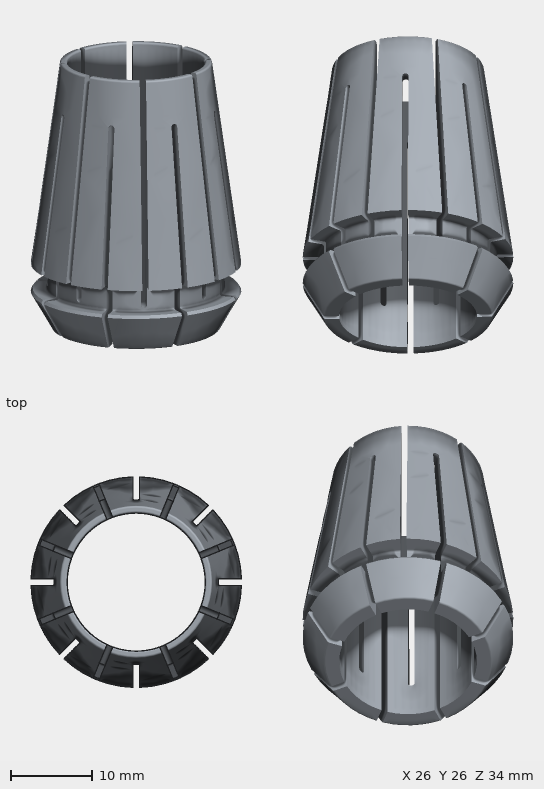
import cadquery as cq
import math

height = 34.0
bore_radius = 8.5

collar_radius = 13.0
collar_angle = 30.0
collar_edge_z = 4.6
collar_top_z = 4.95
collar_bevel = 0.25

groove_radius = 10.95

cone_radius = 13.0
cone_angle = 8.0
cone_base_z = 8.15

edge_fillet = 0.27

slots_per_set = 8
slot_width = 0.78
bottom_slot_end_z = 28.42
top_slot_end_z = 5.45

slot_pitch = 360 / slots_per_set
collar_bottom_radius = collar_radius - collar_edge_z * math.tan(math.radians(collar_angle))
cone_top_radius = cone_radius - (height - cone_base_z) * math.tan(math.radians(cone_angle))


def make_body():
    """Revolve the collet wall about the Z axis, then round its edges."""
    body = (
        cq.Workplane("XZ")
        .moveTo(bore_radius, 0)
        .lineTo(collar_bottom_radius, 0)
        .lineTo(collar_radius, collar_edge_z)
        .lineTo(collar_radius - collar_bevel, collar_top_z)
        .lineTo(groove_radius, collar_top_z)
        .lineTo(groove_radius, cone_base_z)
        .lineTo(cone_radius, cone_base_z)
        .lineTo(cone_top_radius, height)
        .lineTo(bore_radius, height)
        .close()
        .revolve(360, (0, 0, 0), (0, 1, 0))
    )
    rim_edges = body.faces(">Z").edges()
    body = rim_edges.fillet(edge_fillet)
    for rounded_radius in (collar_bottom_radius, groove_radius):
        circles = body.edges("%CIRCLE").filter(
            lambda edge: math.isclose(edge.radius(), rounded_radius)
        )
        body = circles.fillet(edge_fillet)
    return body


def make_slot(round_end_z, open_end_z, angle):
    """Radial slot cutter with a half-round closed end, turned to the given angle."""
    half_width = slot_width / 2
    toward_open = math.copysign(1, open_end_z - round_end_z)
    arc_start_z = round_end_z + toward_open * half_width
    return (
        cq.Workplane("YZ")
        .moveTo(-half_width, open_end_z)
        .lineTo(-half_width, arc_start_z)
        .threePointArc((0, round_end_z), (half_width, arc_start_z))
        .lineTo(half_width, open_end_z)
        .close()
        .extrude(2 * collar_radius)
        .rotate((0, 0, 0), (0, 0, 1), angle)
    )


result = make_body()
for index in range(slots_per_set):
    slot_angle = index * slot_pitch
    result = result.cut(make_slot(bottom_slot_end_z, 0, slot_angle))
    result = result.cut(make_slot(top_slot_end_z, height, slot_angle + slot_pitch / 2))